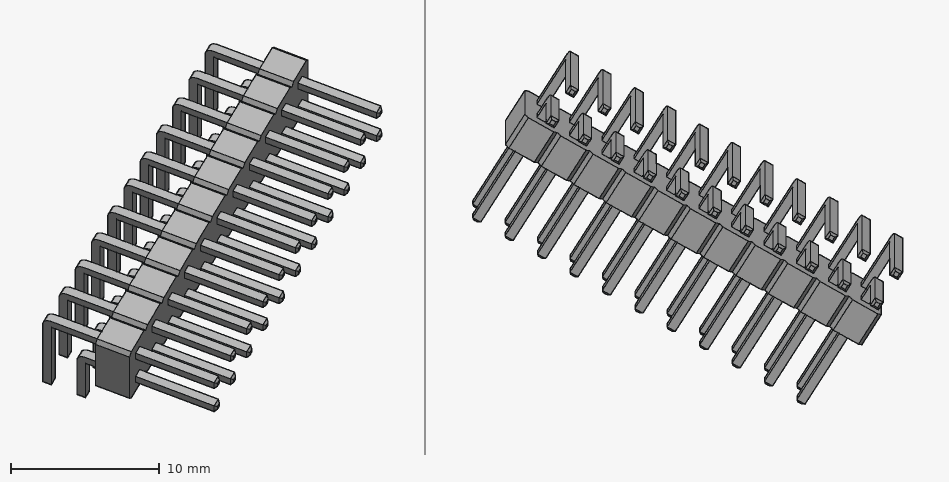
import cadquery as cq


columns = 11
rows = 2
length = 27.95
pin_width = 0.65
mating_length = 6.0
tail_drop = 3.0
bend_clearance = 1.5
corner_cut = 0.28

pitch = length / columns
body_width = pitch
body_height = rows * pitch
half_pin = pin_width / 2
tip_chamfer = pin_width / 4


def cell(y_center):
    """One column of the body: a block whose four X-direction edges are cut."""
    return (
        cq.Workplane("XY")
        .box(body_width, pitch, body_height, centered=(False, True, False))
        .edges("|X")
        .chamfer(corner_cut)
        .translate((0, y_center, 0))
    )


def pin(y_center, row):
    """One bent pin; row 0 is the lowest, and higher rows bend further out."""
    z_center = (row + 0.5) * pitch
    x_tail = -(bend_clearance + row * pitch)
    x_outer = x_tail - half_pin
    x_inner = x_tail + half_pin
    z_top = z_center + half_pin
    z_under = z_center - half_pin
    x_end = body_width + mating_length
    arc_reach = pin_width * 0.5 ** 0.5
    return (
        cq.Workplane("XZ", origin=(0, y_center, 0))
        .moveTo(x_outer, -tail_drop)
        .lineTo(x_outer, z_under)
        .threePointArc((x_inner - arc_reach, z_under + arc_reach), (x_inner, z_top))
        .lineTo(x_end, z_top)
        .lineTo(x_end, z_under)
        .lineTo(x_inner, z_under)
        .lineTo(x_inner, -tail_drop)
        .close()
        .extrude(half_pin, both=True)
        .faces(">X or <Z")
        .chamfer(tip_chamfer)
    )


column_centers = [(i - (columns - 1) / 2) * pitch for i in range(columns)]

result = cell(column_centers[0])
for y in column_centers[1:]:
    result = result.union(cell(y))
for y in column_centers:
    for row in range(rows):
        result = result.union(pin(y, row))